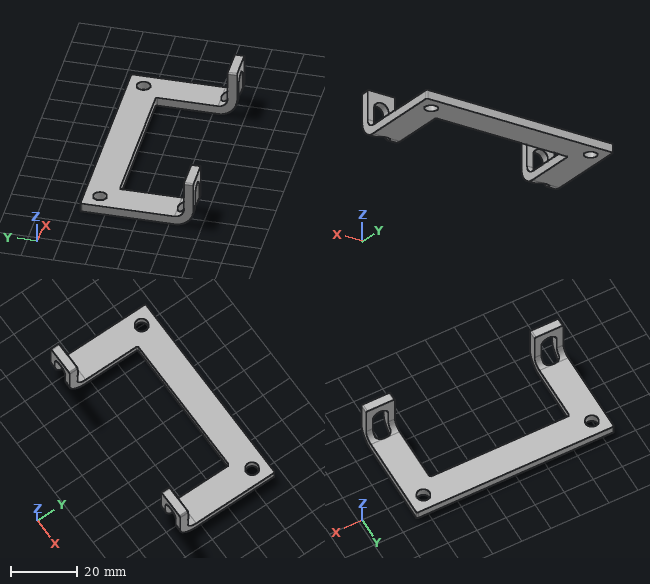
import cadquery as cq
import math

length = 68.0
depth = 35.2
height = 16.0
thickness = 3.0
arm_width = 10.0
corner_radius = 0.5

inner_bend = 3.0
outer_bend = inner_bend + thickness
neutral_radius = inner_bend + thickness / 2
bend_y = outer_bend
bend_z = outer_bend

hole_diameter = 4.2
slot_width = 5.3
slot_radius = slot_width / 2
slot_top = 12.8
slot_center_z = slot_top - slot_radius
arm_center_x = length / 2 - arm_width / 2
hole_y = depth - arm_width / 2

slot_end_angle = slot_radius / neutral_radius
clearance = 0.7
curve_steps = 16


def bent_sheet():
    """L-shaped sheet extruded over the full length, with a rounded bend."""
    profile = (
        cq.Workplane("YZ")
        .moveTo(depth, 0)
        .lineTo(bend_y, 0)
        .radiusArc((0, bend_z), outer_bend)
        .lineTo(0, height)
        .lineTo(thickness, height)
        .lineTo(thickness, bend_z)
        .radiusArc((bend_y, thickness), -inner_bend)
        .lineTo(depth, thickness)
        .close()
    )
    return profile.extrude(length / 2, both=True)


def opening_cutter():
    """Space between the two arms, with rounded inner corners."""
    return (
        cq.Workplane("XY")
        .box(2 * (arm_center_x - arm_width / 2), depth, height, centered=(True, False, False))
        .translate((0, -arm_width, 0))
        .edges("|Z and >Y")
        .fillet(corner_radius)
    )


def slot_end_wire(drop):
    """Rounded slot end, projected radially from the bend axis to a plane below it."""
    points = []
    for step in range(curve_steps + 1):
        turn = math.pi * step / curve_steps
        angle = slot_end_angle * (1 - math.sin(turn))
        x = -slot_radius * math.cos(turn)
        points.append(cq.Vector(x, bend_y - drop * math.tan(angle), bend_z - drop))
    parameters = [step / curve_steps for step in range(curve_steps + 1)]
    curve = cq.Edge.makeSpline(points, parameters=parameters)
    return cq.Wire.assembleEdges([curve, cq.Edge.makeLine(points[-1], points[0])])


def slot_cutter():
    """Slot that runs down the tab and around the bend, with radial walls in the bend."""
    near_drop = inner_bend * math.cos(slot_end_angle) - clearance
    far_drop = outer_bend + clearance
    rounded_end = cq.Solid.makeLoft([slot_end_wire(near_drop), slot_end_wire(far_drop)], True)

    reach = 2 * outer_bend
    straight_part = (
        cq.Workplane("YZ")
        .moveTo(bend_y, bend_z)
        .lineTo(bend_y - reach * math.sin(slot_end_angle), bend_z - reach * math.cos(slot_end_angle))
        .lineTo(bend_y - reach, bend_z - reach)
        .lineTo(bend_y - reach, slot_center_z)
        .lineTo(bend_y, slot_center_z)
        .close()
        .extrude(slot_radius, both=True)
    )
    rounded_top = (
        cq.Workplane("XZ")
        .center(0, slot_center_z)
        .circle(slot_radius)
        .extrude(thickness + clearance, both=True)
    )
    return straight_part.union(rounded_top).union(cq.Workplane(rounded_end))


bracket = bent_sheet()
bracket = bracket.edges("|Z and >Y").fillet(corner_radius)
bracket = bracket.cut(opening_cutter())
bracket = bracket.faces(">Z").edges("|Y").fillet(corner_radius)

for side in (-1, 1):
    arm_x = side * arm_center_x
    hole = cq.Workplane("XY").center(arm_x, hole_y).circle(hole_diameter / 2).extrude(thickness)
    bracket = bracket.cut(hole)
    bracket = bracket.cut(slot_cutter().translate((arm_x, 0, 0)))

result = bracket